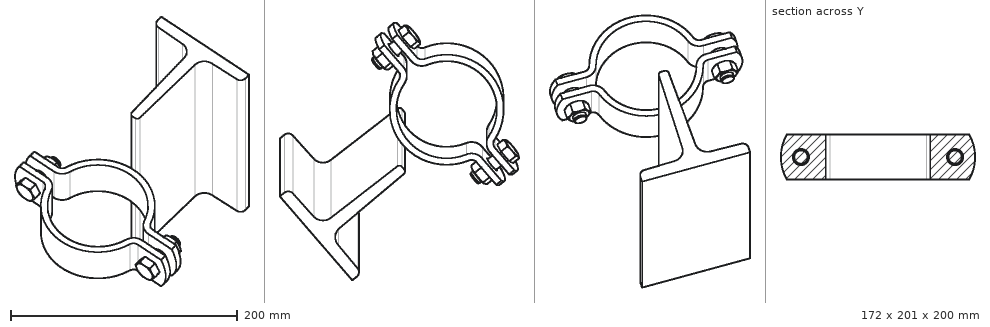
import cadquery as cq
import math


ring_radius = 50.5
strap_thickness = 6.0
strap_height = 40.0
half_gap = 4.5
bend_radius = 6.0
clamp_span = 172.0
ear_tip_radius = 40.0
bolt_hole_diameter = 14.0

bar_length = 200.0
flange_width = 100.0
flange_thickness = 11.0
web_thickness = 11.0
taper = 0.02
root_radius = 11.0
flange_tip_radius = 5.5
web_tip_radius = 3.0
section_depth = 100.2
weld_overlap = 0.2

bolt_x = 68.0
bolt_diameter = 12.0
bolt_end_y = 25.0
bolt_end_diameter = 11.0
bolt_end_chamfer_length = 1.5
hex_width = 18.0
hex_corner_span = 22.0
hex_flat_length = 11.5
hex_face_diameter = 18.5
hex_chamfer_angle = 30.0
head_height = 8.0
nut_height = 10.0

clamp_half_span = clamp_span / 2
ear_outer_y = half_gap + strap_thickness
bar_front_y = ring_radius - weld_overlap
bar_back_y = bar_front_y + section_depth


def make_t_bar():
    """T section with tapered flange and web, extruded along Z."""
    half_width = flange_width / 2
    mid_depth = section_depth / 2

    def web_half_width(y):
        return web_thickness / 2 + taper * (y - bar_front_y - mid_depth)

    def underside_y(x):
        return bar_back_y - flange_thickness + taper * (x - half_width / 2)

    root_y = underside_y(web_half_width(underside_y(0)))
    root_x = web_half_width(root_y)
    tip_x = web_half_width(bar_front_y)
    edge_y = underside_y(half_width)

    bar = (
        cq.Workplane("XY", origin=(0, 0, -bar_length / 2))
        .moveTo(-half_width, bar_back_y)
        .lineTo(half_width, bar_back_y)
        .lineTo(half_width, edge_y)
        .lineTo(root_x, root_y)
        .lineTo(tip_x, bar_front_y)
        .lineTo(-tip_x, bar_front_y)
        .lineTo(-root_x, root_y)
        .lineTo(-half_width, edge_y)
        .close()
        .extrude(bar_length)
    )
    rounded_corners = [
        (root_x, root_y, root_radius),
        (half_width, edge_y, flange_tip_radius),
        (tip_x, bar_front_y, web_tip_radius),
    ]
    for x, y, radius in rounded_corners:
        for side in (-1, 1):
            corner = cq.selectors.NearestToPointSelector((side * x, y, 0))
            bar = bar.edges("|Z").edges(corner).fillet(radius)
    return bar


def make_strap():
    """Clamp half on the +Y side: half ring, two bends and two drilled ears."""
    inner_radius = ring_radius - strap_thickness
    bend_y = ear_outer_y + bend_radius
    bend_x = math.sqrt((ring_radius + bend_radius) ** 2 - bend_y ** 2)
    tangent_angle = math.atan2(bend_y, bend_x)

    bend_mid_angle = math.pi + (math.pi / 2 + tangent_angle) / 2

    def on_ring(radius):
        return radius * math.cos(tangent_angle), radius * math.sin(tangent_angle)

    def on_bend(radius):
        x = bend_x + radius * math.cos(bend_mid_angle)
        return x, bend_y + radius * math.sin(bend_mid_angle)

    def mirrored(point):
        return -point[0], point[1]

    outer_end = on_ring(ring_radius)
    inner_end = on_ring(inner_radius)
    outer_bend = on_bend(bend_radius)
    inner_bend = on_bend(bend_radius + strap_thickness)

    strap = (
        cq.Workplane("XY", origin=(0, 0, -strap_height / 2))
        .moveTo(clamp_half_span, ear_outer_y)
        .lineTo(bend_x, ear_outer_y)
        .threePointArc(outer_bend, outer_end)
        .threePointArc((0, ring_radius), mirrored(outer_end))
        .threePointArc(mirrored(outer_bend), (-bend_x, ear_outer_y))
        .lineTo(-clamp_half_span, ear_outer_y)
        .lineTo(-clamp_half_span, half_gap)
        .lineTo(-bend_x, half_gap)
        .threePointArc(mirrored(inner_bend), mirrored(inner_end))
        .threePointArc((0, inner_radius), inner_end)
        .threePointArc(inner_bend, (bend_x, half_gap))
        .lineTo(clamp_half_span, half_gap)
        .close()
        .extrude(strap_height)
    )

    half_height = strap_height / 2
    arc_rise = ear_tip_radius - math.sqrt(ear_tip_radius ** 2 - half_height ** 2)
    arc_x = clamp_half_span - arc_rise
    outline = (
        cq.Workplane("XZ")
        .moveTo(-arc_x, half_height)
        .lineTo(arc_x, half_height)
        .threePointArc((clamp_half_span, 0), (arc_x, -half_height))
        .lineTo(-arc_x, -half_height)
        .threePointArc((-clamp_half_span, 0), (-arc_x, half_height))
        .close()
        .extrude(-ring_radius)
    )
    bolt_holes = (
        cq.Workplane("XZ")
        .pushPoints([(-bolt_x, 0), (bolt_x, 0)])
        .circle(bolt_hole_diameter / 2)
        .extrude(-ear_outer_y)
    )
    return strap.intersect(outline).cut(bolt_holes)


def make_hexagon(start_y, height, chamfered_ends):
    """Hexagon along Y with two flats facing up and down and its corners chamfered."""
    half_width = hex_width / 2
    half_span = hex_corner_span / 2
    half_flat = hex_flat_length / 2
    chamfer_width = (hex_corner_span - hex_face_diameter) / 2
    chamfer_height = chamfer_width * math.tan(math.radians(hex_chamfer_angle))
    base = cq.Workplane("XZ", origin=(0, start_y, 0))
    corners = [
        (half_span, 0),
        (half_flat, half_width),
        (-half_flat, half_width),
        (-half_span, 0),
        (-half_flat, -half_width),
        (half_flat, -half_width),
    ]
    prism = base.polyline(corners).close().extrude(-height)
    envelope = (
        base.circle(hex_corner_span / 2)
        .extrude(-height)
        .faces(chamfered_ends)
        .chamfer(chamfer_height, chamfer_width)
    )
    return prism.intersect(envelope)


def make_bolt():
    """Bolt along Y with its head on the -Y ear and its nut on the +Y ear."""
    shank = (
        cq.Workplane("XZ", origin=(0, -ear_outer_y, 0))
        .circle(bolt_diameter / 2)
        .extrude(-(ear_outer_y + bolt_end_y))
        .faces(">Y")
        .chamfer(bolt_end_chamfer_length, (bolt_diameter - bolt_end_diameter) / 2)
    )
    head = make_hexagon(-ear_outer_y - head_height, head_height, "<Y")
    nut = make_hexagon(ear_outer_y, nut_height, "<Y or >Y")
    return shank.union(head).union(nut)


back_strap = make_strap()
front_strap = back_strap.mirror("XZ")
bolt = make_bolt()

result = make_t_bar().union(back_strap)
for side in (-1, 1):
    result = result.union(bolt.translate((side * bolt_x, 0, 0)))
result = result.union(front_strap)